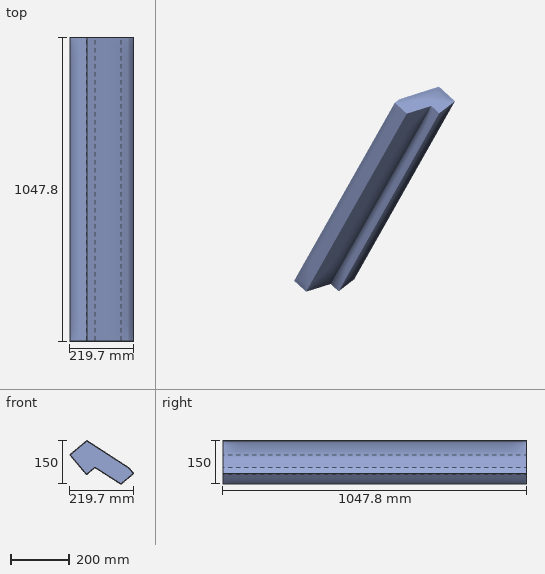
import cadquery as cq

INCH = 25.4

length = 41.25 * INCH
tilt_angle = 40.0

total_width = 5.0 * INCH
total_depth = 7.5 * INCH

head_width = 3.0 * INCH
head_depth = 3.5 * INCH
step_width = 1.5 * INCH

end_face_width = 2.25 * INCH
end_side_depth = 1.0 * INCH


def section_points():
    """Corners of the untilted section, from the head's outer corner around to the step."""
    return [
        (0, 0),
        (head_width, 0),
        (total_width, end_side_depth - total_depth),
        (total_width, -total_depth),
        (total_width - end_face_width, -total_depth),
        (step_width, -head_depth),
        (0, -head_depth),
    ]


def tilted_bar():
    """Section extruded symmetrically along Y, then tilted so the head's top face rises toward +X."""
    bar = cq.Workplane("XZ").polyline(section_points()).close().extrude(length / 2, both=True)
    return bar.rotate((0, 0, 0), (0, 1, 0), -tilt_angle)


result = tilted_bar()